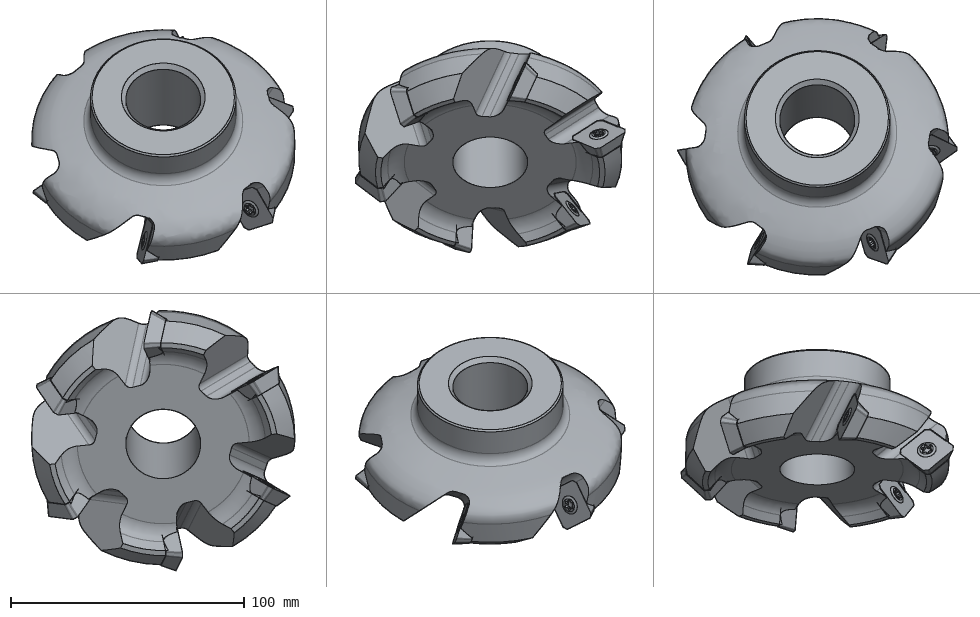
import cadquery as cq
import math

OVERALL_HEIGHT = 50.0
HUB_RADIUS = 62.4 / 2
HUB_CHAMFER = 0.7
NECK_TOP = 37.1
NECK_BOTTOM = 32.3
NECK_RADIUS = 34.1
BORE_RADIUS = 32.0 / 2
BORE_CHAMFER = 1.9
BODY_RADIUS = 112.8 / 2
SHOULDER_SLOPE = 18.0
SHOULDER_POINTS = [(46.6, 28.3), (53.1, 24.8)]
SHOULDER_BASE = 18.8
RIM_CHAMFER = 7.2
BODY_BOTTOM = 1.4

RECESS_RADIUS = 46.9
RECESS_CEILING = 7.3
RECESS_RIM_SLOPE = 45.0
RECESS_ROUND = 10.0

INSERT_COUNT = 6
INSERT_CENTRE = (48.4, 2.9, 11.0)
RADIAL_RAKE = 9.3
AXIAL_RAKE = 16.4
FACE_TURN = 48.1
INSERT_SIDE = 17.9
INSERT_CORNER_WIDTH = 23.0
INSERT_THICKNESS = 6.6
INSERT_EDGE_ROUND = 0.6
SIDE_RELIEF = 20.0
CORNER_RELIEF = 25.0

HEAD_DIAMETER = 8.1
HEAD_TOP_DIAMETER = 5.7
HEAD_RISE = 0.5
SOCKET_DIAMETER = 4.5
SOCKET_LOBES = 6
SOCKET_LOBE_DIAMETER = 1.1
SOCKET_DEPTH = 1.8

GULLET_FLOOR = 11.6
GULLET_WALL_SETBACK = 0.4
GULLET_ROUND = 4.0
GULLET_FLOOR_END = 6.7
GULLET_FAR_ROUND = 4.0
GULLET_FAR_LEAN = 39.0
GULLET_REACH = 21.5
GULLET_HALF_LENGTH = 43.0


def sin(degrees):
    return math.sin(math.radians(degrees))


def cos(degrees):
    return math.cos(math.radians(degrees))


def make_blank():
    """Turned body with hub, neck, curved shoulder and chamfered rim, before the cuts."""
    shoulder_start = (cos(SHOULDER_SLOPE), -sin(SHOULDER_SLOPE))
    shoulder_end = (0, -1)
    return (
        cq.Workplane("XZ")
        .moveTo(BORE_RADIUS, OVERALL_HEIGHT - BORE_CHAMFER)
        .lineTo(BORE_RADIUS + BORE_CHAMFER, OVERALL_HEIGHT)
        .lineTo(HUB_RADIUS - HUB_CHAMFER, OVERALL_HEIGHT)
        .lineTo(HUB_RADIUS, OVERALL_HEIGHT - HUB_CHAMFER)
        .lineTo(HUB_RADIUS, NECK_TOP)
        .tangentArcPoint((NECK_RADIUS, NECK_BOTTOM), relative=False)
        .spline(
            [*SHOULDER_POINTS, (BODY_RADIUS, SHOULDER_BASE)],
            tangents=[shoulder_start, shoulder_end],
            includeCurrent=True,
        )
        .lineTo(BODY_RADIUS, BODY_BOTTOM + RIM_CHAMFER)
        .lineTo(BODY_RADIUS - RIM_CHAMFER, BODY_BOTTOM)
        .lineTo(BORE_RADIUS, BODY_BOTTOM)
        .close()
        .revolve(360, (0, 0, 0), (0, 1, 0))
    )


def make_recess():
    """Underside dish: a sloping rim, then a round into a flat ceiling."""
    round_drop = RECESS_ROUND * (1 - cos(RECESS_RIM_SLOPE))
    rim_top = RECESS_CEILING - round_drop
    rim_rise = rim_top - BODY_BOTTOM
    rim_radius = RECESS_RADIUS - rim_rise / math.tan(math.radians(RECESS_RIM_SLOPE))
    ceiling_radius = rim_radius - RECESS_ROUND * sin(RECESS_RIM_SLOPE)
    return (
        cq.Workplane("XZ")
        .moveTo(RECESS_RADIUS, BODY_BOTTOM)
        .lineTo(rim_radius, rim_top)
        .tangentArcPoint((ceiling_radius, RECESS_CEILING), relative=False)
        .lineTo(0, RECESS_CEILING)
        .lineTo(0, BODY_BOTTOM)
        .close()
        .revolve(360, (0, 0, 0), (0, 1, 0))
    )


def make_face_plane():
    """Cutting-face plane of the first insert: x along the gullet, y inward, z forward."""
    forward = cq.Vector(
        math.tan(math.radians(RADIAL_RAKE)), -1, math.tan(math.radians(AXIAL_RAKE))
    ).normalized()
    radial = cq.Vector(1, 0, 0)
    across = radial - forward * radial.dot(forward)
    return cq.Plane(INSERT_CENTRE, across, forward).rotated((0, 0, FACE_TURN))


FACE_PLANE = make_face_plane()


def make_gullet():
    """Straight prism whose insert-side wall lies just behind the cutting face."""
    section = cq.Plane(FACE_PLANE.origin, FACE_PLANE.yDir, FACE_PLANE.xDir)
    wall = -GULLET_WALL_SETBACK
    far_sweep = 90 - GULLET_FAR_LEAN
    far_start = GULLET_FLOOR - GULLET_FAR_ROUND * (1 - cos(far_sweep))
    far_height = GULLET_FLOOR_END + GULLET_FAR_ROUND * sin(far_sweep)
    far_rise = (far_start + GULLET_REACH) * math.tan(math.radians(GULLET_FAR_LEAN))
    return (
        cq.Workplane(section)
        .moveTo(-GULLET_REACH, wall)
        .lineTo(GULLET_FLOOR - GULLET_ROUND, wall)
        .tangentArcPoint((GULLET_FLOOR, wall + GULLET_ROUND), relative=False)
        .lineTo(GULLET_FLOOR, GULLET_FLOOR_END)
        .tangentArcPoint((far_start, far_height), relative=False)
        .lineTo(-GULLET_REACH, far_height + far_rise)
        .close()
        .extrude(GULLET_HALF_LENGTH, both=True)
    )


def make_insert_blank():
    """Square insert with cut corners, its sides relieved and their edges rounded."""
    square = (
        cq.Workplane(FACE_PLANE)
        .rect(INSERT_SIDE, INSERT_SIDE)
        .extrude(-INSERT_THICKNESS, taper=SIDE_RELIEF)
    )
    corners = (
        cq.Workplane(FACE_PLANE.rotated((0, 0, 45)))
        .rect(INSERT_CORNER_WIDTH, INSERT_CORNER_WIDTH)
        .extrude(-INSERT_THICKNESS, taper=CORNER_RELIEF)
    )
    blank = square.intersect(corners)
    across_face = cq.selectors.ParallelDirSelector(FACE_PLANE.zDir)
    flat_edges = blank.faces(across_face).edges().vals()
    side_edges = [
        edge for edge in blank.edges().vals() if not any(edge.isSame(flat) for flat in flat_edges)
    ]
    return blank.newObject(side_edges).fillet(INSERT_EDGE_ROUND)


def make_screw_head():
    """Bevelled head standing on the cutting face."""
    return (
        cq.Workplane(FACE_PLANE)
        .circle(HEAD_DIAMETER / 2)
        .workplane(offset=HEAD_RISE)
        .circle(HEAD_TOP_DIAMETER / 2)
        .loft()
    )


def make_socket():
    """Lobed driver socket sunk from the top of the head."""
    top = cq.Workplane(FACE_PLANE).workplane(offset=HEAD_RISE)
    lobe_circle = (SOCKET_DIAMETER - SOCKET_LOBE_DIAMETER) / 2
    core = top.circle(lobe_circle).extrude(-SOCKET_DEPTH)
    lobes = (
        top.polarArray(lobe_circle, 0, 360, SOCKET_LOBES)
        .circle(SOCKET_LOBE_DIAMETER / 2)
        .extrude(-SOCKET_DEPTH)
    )
    return core.union(lobes)


def make_insert():
    """Insert with its screw head and driver socket."""
    return make_insert_blank().union(make_screw_head()).cut(make_socket())


def around_axis(shape):
    """Copies of a shape at every insert station."""
    pitch = 360 / INSERT_COUNT
    return [shape.rotate((0, 0, 0), (0, 0, 1), pitch * i) for i in range(INSERT_COUNT)]


def make_body():
    """Turned blank with the recess, gullets and insert seats cut away."""
    body = make_blank().cut(make_recess())
    for gullet in around_axis(make_gullet()):
        body = body.cut(gullet)
    for seat in around_axis(make_insert_blank()):
        body = body.cut(seat)
    return body


body = make_body()
inserts = around_axis(make_insert())

result = cq.Compound.makeCompound([body.val(), *[insert.val() for insert in inserts]])